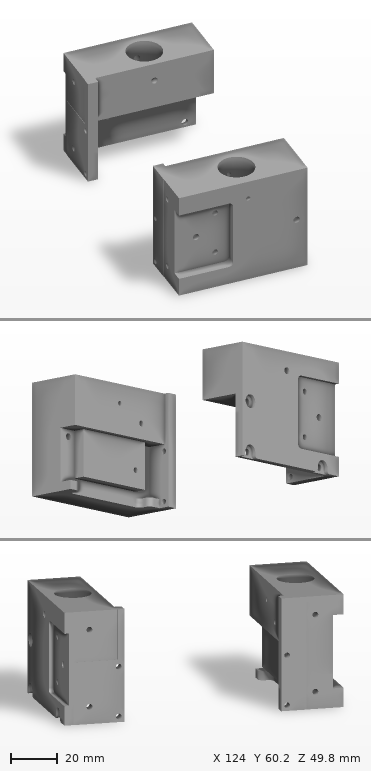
import cadquery as cq
import math

overall_length = 124.0
overall_depth = 60.2
height = 49.81

back_y = 27.75
front_y = back_y - overall_depth
panel_proud = 0.15
panel_thickness = 4.8
block_front_y = front_y + panel_proud
panel_back_y = front_y + panel_thickness
ledge_z = 27.65

arc_middle = 1 - math.sqrt(0.5)

left_outer_x = -overall_length / 2
left_body_width = 23.45
left_panel_overhang = 3.2
left_wall = 4.0
left_inner_x = left_outer_x + left_body_width
left_panel_x = left_inner_x + left_panel_overhang
left_wall_x = left_outer_x + left_wall

right_outer_x = overall_length / 2
right_body_width = 25.4
right_panel_overhang = 2.35
right_recess_depth = 8.85
right_inner_x = right_outer_x - right_body_width
right_panel_x = right_inner_x - right_panel_overhang
right_wall_x = right_inner_x + right_recess_depth

bore_diameter = 16.2
bore_depth = 20.0
bore_from_outer = 12.55

boss_inset = 3.3
boss_half_length = 19.0
boss_bottom_z = 6.8

foot_inset = 2.7
foot_height = 4.0
foot_length = 5.8
front_foot_length = 6.2
foot_tip_radius = 2.5
foot_root_radius = 2.4

pocket_length = 25.5
pocket_bottom_z = 8.55
pocket_corner_radius = 2.0
left_pocket_depth = 2.1
left_pocket_height = 32.0
right_pocket_depth = 4.75
right_pocket_height = 32.4

screw_diameter = 3.0
screw_back_y = back_y - 5.1
screw_front_y = back_y - 50.0
screw_low_z = 2.5
screw_high_z = 24.5
counterbore_diameter = 6.0
counterbore_depth = 2.0
counterbore_mouth_radius = 1.3

pocket_hole_diameter = 2.5
pocket_hole_y = back_y - 41.1
pocket_hole_spacing = 20.0
pocket_hole_low_z = screw_high_z - pocket_hole_spacing / 2
pocket_hole_high_z = screw_high_z + pocket_hole_spacing / 2

set_screw_z = 41.3
left_set_screw_diameter = 3.0
right_set_screw_diameter = 2.0

front_hole_diameter = 2.6
front_hole_depth = 10.0
front_hole_low_z = 7.6
front_hole_spacing = 34.0
left_front_hole_from_outer = 11.1
panel_hole_diameter = 2.5
panel_hole_from_edge = 2.6


def box(x_start, x_end, y_start, y_end, z_start, z_end):
    """Box between opposite corners, with each pair of limits in either order."""
    return (
        cq.Workplane("XY")
        .box(abs(x_end - x_start), abs(y_end - y_start), abs(z_end - z_start))
        .translate(((x_start + x_end) / 2, (y_start + y_end) / 2, (z_start + z_end) / 2))
    )


def hole_along_x(x_start, x_end, y, z, diameter):
    """Hole from x_start up to the larger x_end."""
    start = cq.Vector(x_start, y, z)
    drill = cq.Solid.makeCylinder(diameter / 2, x_end - x_start, start, cq.Vector(1, 0, 0))
    return cq.Workplane(drill)


def hole_along_y(x, z, depth, diameter):
    """Hole drilled backwards from the front face."""
    drill = cq.Solid.makeCylinder(diameter / 2, depth, cq.Vector(x, front_y, z), cq.Vector(0, 1, 0))
    return cq.Workplane(drill)


def bore(x):
    """Blind bore down from the top face."""
    floor = cq.Workplane("XY", origin=(x, 0, height - bore_depth))
    return floor.circle(bore_diameter / 2).extrude(bore_depth)


def side_pocket(x_face, x_floor, pocket_height):
    """Pocket in an outer side, running out through the front, with rounded blind corners."""
    pocket_top_z = pocket_bottom_z + pocket_height
    pocket = box(x_face, x_floor, front_y, front_y + pocket_length, pocket_bottom_z, pocket_top_z)
    return pocket.edges("|X and >Y").fillet(pocket_corner_radius)


def counterbore(y, z):
    return hole_along_x(left_outer_x, left_outer_x + counterbore_depth, y, z, counterbore_diameter)


def open_counterbore(y, z):
    """Counterbore that opens through the underside, its mouth rounded outwards."""
    radius = counterbore_diameter / 2
    mouth = counterbore_mouth_radius
    bend = mouth * arc_middle
    return (
        cq.Workplane("YZ", origin=(left_outer_x, 0, 0))
        .moveTo(y - radius - mouth, 0)
        .threePointArc((y - radius - bend, bend), (y - radius, mouth))
        .lineTo(y - radius, z)
        .threePointArc((y, z + radius), (y + radius, z))
        .lineTo(y + radius, mouth)
        .threePointArc((y + radius + bend, bend), (y + radius + mouth, 0))
        .close()
        .extrude(counterbore_depth)
    )


def foot(y_end, length, inward):
    """Foot on the recess wall, its free side rounded at the tip and filleted into the wall.

    y_end is the end of the recess it stands at; inward is the Y sign pointing away from that end.
    """
    tip_x = right_inner_x + foot_inset
    side_y = y_end + inward * length
    tip_bend = foot_tip_radius * arc_middle
    root_bend = foot_root_radius * arc_middle
    return (
        cq.Workplane("XY")
        .moveTo(right_wall_x, y_end)
        .lineTo(tip_x, y_end)
        .lineTo(tip_x, side_y - inward * foot_tip_radius)
        .threePointArc((tip_x + tip_bend, side_y - inward * tip_bend), (tip_x + foot_tip_radius, side_y))
        .lineTo(right_wall_x - foot_root_radius, side_y)
        .threePointArc(
            (right_wall_x - root_bend, side_y + inward * root_bend),
            (right_wall_x, side_y + inward * foot_root_radius),
        )
        .close()
        .extrude(foot_height)
    )


def make_left_block():
    block = box(left_outer_x, left_inner_x, block_front_y, back_y, 0, height)
    block = block.cut(box(left_wall_x, left_inner_x, block_front_y, back_y, 0, ledge_z))

    block = block.union(box(left_wall_x, left_panel_x, front_y, panel_back_y, 0, ledge_z))
    block = block.union(box(left_inner_x, left_panel_x, front_y, panel_back_y, 0, height))

    block = block.cut(bore(left_outer_x + bore_from_outer))
    block = block.cut(side_pocket(left_outer_x, left_outer_x + left_pocket_depth, left_pocket_height))

    block = block.cut(counterbore(screw_back_y, screw_high_z))
    block = block.cut(open_counterbore(screw_back_y, screw_low_z))
    block = block.cut(open_counterbore(screw_front_y, screw_low_z))
    for y in (screw_back_y, screw_front_y):
        for z in (screw_low_z, screw_high_z):
            block = block.cut(hole_along_x(left_outer_x, left_wall_x, y, z, screw_diameter))
    for z in (pocket_hole_low_z, pocket_hole_high_z):
        block = block.cut(hole_along_x(left_outer_x, left_wall_x, pocket_hole_y, z, pocket_hole_diameter))
    block = block.cut(hole_along_x(left_outer_x, left_inner_x, 0, set_screw_z, left_set_screw_diameter))

    hole_x = left_outer_x + left_front_hole_from_outer
    for z in (front_hole_low_z, front_hole_low_z + front_hole_spacing):
        block = block.cut(hole_along_y(hole_x, z, front_hole_depth, front_hole_diameter))
    for z in (screw_low_z, screw_high_z):
        block = block.cut(
            hole_along_y(left_panel_x - panel_hole_from_edge, z, panel_thickness, panel_hole_diameter)
        )
    return block


def make_right_block():
    block = box(right_inner_x, right_outer_x, block_front_y, back_y, 0, height)
    block = block.cut(box(right_inner_x, right_wall_x, block_front_y, back_y, 0, ledge_z))

    block = block.union(box(right_panel_x, right_wall_x, front_y, panel_back_y, 0, height))

    boss_face_x = right_inner_x + boss_inset
    block = block.union(
        box(boss_face_x, right_wall_x, -boss_half_length, boss_half_length, boss_bottom_z, ledge_z)
    )
    block = block.union(foot(back_y, foot_length, -1))
    block = block.union(foot(panel_back_y, front_foot_length, 1))

    bore_x = right_outer_x - bore_from_outer
    block = block.cut(bore(bore_x))
    block = block.cut(side_pocket(right_outer_x, right_outer_x - right_pocket_depth, right_pocket_height))

    for y in (screw_back_y, screw_front_y):
        block = block.cut(hole_along_x(right_inner_x, right_outer_x, y, screw_high_z, screw_diameter))
    for z in (pocket_hole_low_z, pocket_hole_high_z):
        block = block.cut(
            hole_along_x(right_inner_x, right_outer_x, pocket_hole_y, z, pocket_hole_diameter)
        )
    block = block.cut(hole_along_x(right_inner_x, right_outer_x, 0, set_screw_z, right_set_screw_diameter))

    for z in (front_hole_low_z, front_hole_low_z + front_hole_spacing):
        block = block.cut(hole_along_y(bore_x, z, front_hole_depth, front_hole_diameter))
    for z in (screw_low_z, screw_high_z):
        block = block.cut(
            hole_along_y(right_panel_x + panel_hole_from_edge, z, panel_thickness, panel_hole_diameter)
        )
    return block


left_block = make_left_block().solids()
right_block = make_right_block().solids()

result = cq.Compound.makeCompound([left_block.val(), right_block.val()])